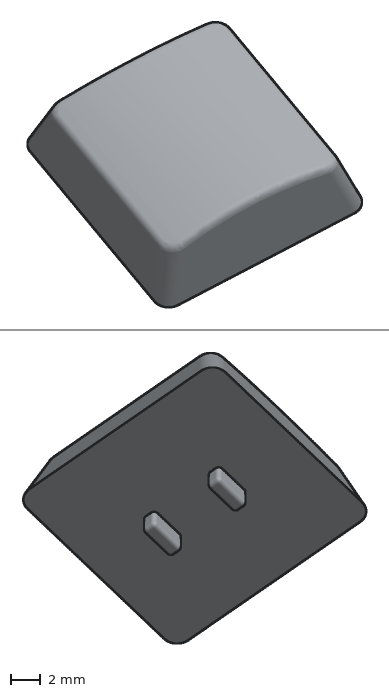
import cadquery as cq
import math

length = 17.5
width = 16.5
cap_height = 5.0
side_inset_per_height = 0.3
corner_radius = 1.2
crown_radius = 29.4
top_fillet = 0.6

leg_drop = 1.49
leg_thickness = 1.08
leg_width = 2.9
leg_spacing = 5.7
leg_edge_radius = 0.3


def make_cap():
    """Tapered block with rounded corners and a top curved about X."""
    draft_angle = math.degrees(math.atan(side_inset_per_height))
    block = cq.Workplane("XY").rect(length, width).extrude(cap_height, taper=draft_angle)
    block = block.edges("not(#Z or |X or |Y)").fillet(corner_radius)
    crown = (
        cq.Workplane("YZ")
        .center(0, cap_height - crown_radius)
        .circle(crown_radius)
        .extrude(length / 2, both=True)
    )
    return block.intersect(crown).faces(">Z").edges().fillet(top_fillet)


def make_leg(center_x):
    """Tab with rounded upright and bottom edges, hanging from the underside of the cap."""
    leg = cq.Workplane("XY").center(center_x, 0).rect(leg_thickness, leg_width).extrude(-leg_drop)
    return leg.edges("|Z or <Z").fillet(leg_edge_radius)


result = make_cap()
for side in (-1, 1):
    result = result.union(make_leg(side * leg_spacing / 2))